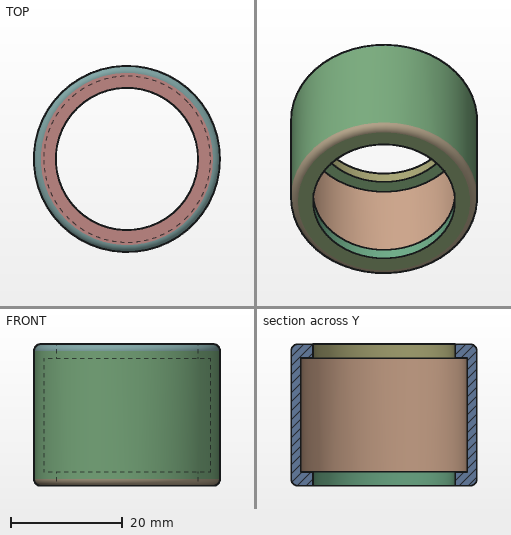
import cadquery as cq

outer_diameter = 33.3375
length = 25.4
bore_diameter = 25.4
edge_radius = 1.27
lip_thickness = 2.54
recess_diameter = 29.8

recess_length = length - 2 * lip_thickness


def centred_cylinder(diameter, height):
    """Cylinder along Z with its middle at the origin."""
    return cq.Workplane("XY").workplane(offset=-height / 2).circle(diameter / 2).extrude(height)


def outer_body():
    """Solid cylinder with both end edges rounded."""
    return centred_cylinder(outer_diameter, length).faces("|Z").edges().fillet(edge_radius)


bore = centred_cylinder(bore_diameter, length)
recess = centred_cylinder(recess_diameter, recess_length)

result = outer_body().cut(bore).cut(recess)